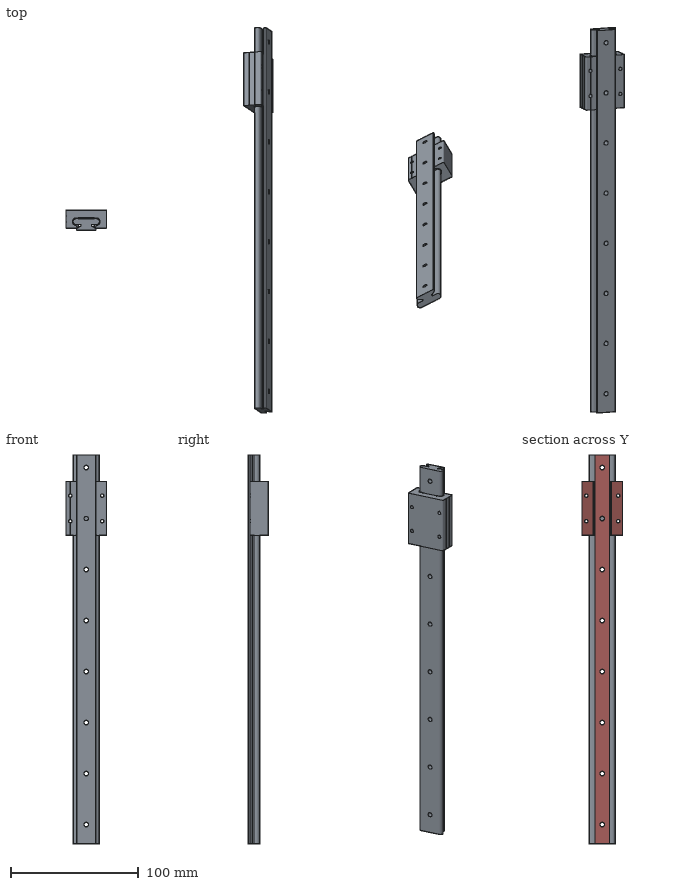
import cadquery as cq
import math


rail_length = 305.0
rail_height = 9.2
foot_half_width = 7.7
foot_height = 1.6
foot_corner_chamfer = 0.3
groove_slope = math.radians(30)
groove_floor_x = 4.2
head_radius = 2.3
head_half_width = 10.3
rail_hole_diameter = 3.4
rail_hole_pitch = 40.0
rail_hole_count = 8
first_hole_z = 15.0

carriage_width = 32.0
carriage_length = 42.4
carriage_top = 16.0
carriage_bottom = 1.7
carriage_center_z = 263.0
carriage_edge_fillet = 0.7
screw_hole_diameter = 2.5
screw_spacing_x = 25.0
screw_spacing_z = 20.0
lip_tip_x = 7.0
lip_edge_fillet = 0.4
foot_clearance = 0.1

liner_thickness = 0.6
liner_end_x = 6.2

mark_depth = 0.2
side_mark_heights = (6.6, 11.3)

head_center_x = head_half_width - head_radius
head_center_y = rail_height - head_radius
head_bottom = rail_height - 2 * head_radius
groove_floor_y = foot_height + (foot_half_width - groove_floor_x) * math.tan(groove_slope)
recess_radius = head_radius + liner_thickness
recess_top = rail_height + liner_thickness
recess_bottom = head_bottom - liner_thickness
carriage_start_z = carriage_center_z - carriage_length / 2
lip_edge_x = foot_half_width + foot_clearance
lip_tip_y = carriage_bottom + (lip_edge_x - lip_tip_x) * math.tan(groove_slope)
liner_end_y = carriage_bottom + (lip_edge_x - liner_end_x) * math.tan(groove_slope)
screw_x = screw_spacing_x / 2


def along_y(points, diameter):
    """Cylinders through the whole depth in Y, at the given (x, z) points."""
    cutters = cq.Workplane("XZ").pushPoints(points)
    return cutters.circle(diameter / 2).extrude(-carriage_top)


def make_rail():
    profile = (
        cq.Workplane("XY")
        .moveTo(0, 0)
        .lineTo(foot_half_width - foot_corner_chamfer, 0)
        .lineTo(foot_half_width, foot_corner_chamfer)
        .lineTo(foot_half_width, foot_height)
        .lineTo(groove_floor_x, groove_floor_y)
        .lineTo(groove_floor_x, head_bottom)
        .lineTo(head_center_x, head_bottom)
        .threePointArc((head_half_width, head_center_y), (head_center_x, rail_height))
        .lineTo(0, rail_height)
        .mirrorY()
    )
    holes = [(0, first_hole_z + i * rail_hole_pitch) for i in range(rail_hole_count)]
    return profile.extrude(rail_length).cut(along_y(holes, rail_hole_diameter))


def mark_groove(x, y):
    """A square bar on edge that cuts a 45 degree V groove along the carriage."""
    side = mark_depth * math.sqrt(2)
    bar = cq.Workplane("XY").rect(side, side).extrude(carriage_length)
    return bar.rotate((0, 0, 0), (0, 0, 1), 45).translate((x, y, carriage_start_z))


def make_carriage():
    half_width = carriage_width / 2
    body = (
        cq.Workplane("XY", origin=(0, 0, carriage_start_z))
        .moveTo(0, carriage_top)
        .lineTo(half_width, carriage_top)
        .lineTo(half_width, carriage_bottom)
        .lineTo(lip_edge_x, carriage_bottom)
        .lineTo(lip_tip_x, lip_tip_y)
        .lineTo(head_center_x, recess_bottom)
        .threePointArc(
            (head_center_x + recess_radius, head_center_y), (head_center_x, recess_top)
        )
        .lineTo(0, recess_top)
        .mirrorY()
        .extrude(carriage_length)
    )
    corners = [(sx * half_width, y) for sx in (-1, 1) for y in (carriage_bottom, carriage_top)]
    for x, y in corners:
        corner = cq.selectors.NearestToPointSelector((x, y, carriage_center_z))
        body = body.edges(corner).fillet(carriage_edge_fillet)
    for x in (-lip_edge_x, lip_edge_x):
        lip_edge = cq.selectors.NearestToPointSelector((x, carriage_bottom, carriage_center_z))
        body = body.edges(lip_edge).fillet(lip_edge_fillet)

    rows_z = [carriage_center_z + side * screw_spacing_z / 2 for side in (-1, 1)]
    screws = [(x, z) for x in (-screw_x, screw_x) for z in rows_z]
    body = body.cut(along_y(screws, screw_hole_diameter))

    body = body.cut(mark_groove(-screw_x, carriage_bottom))
    for y in side_mark_heights:
        body = body.cut(mark_groove(-half_width, y))
    return body


def make_liner(side):
    """A C-shaped strip round one edge of the rail head; side is -1 or +1 along X."""
    return (
        cq.Workplane("XY", origin=(0, 0, carriage_start_z))
        .moveTo(side * liner_end_x, rail_height)
        .lineTo(side * head_center_x, rail_height)
        .threePointArc((side * head_half_width, head_center_y), (side * head_center_x, head_bottom))
        .lineTo(side * liner_end_x, head_bottom)
        .lineTo(side * liner_end_x, liner_end_y)
        .lineTo(side * lip_tip_x, lip_tip_y)
        .lineTo(side * head_center_x, recess_bottom)
        .threePointArc(
            (side * (head_center_x + recess_radius), head_center_y),
            (side * head_center_x, recess_top),
        )
        .lineTo(side * liner_end_x, recess_top)
        .close()
        .extrude(carriage_length)
    )


rail = make_rail()
carriage = make_carriage()
liners = [make_liner(side) for side in (-1, 1)]

result = cq.Compound.makeCompound([rail.val(), carriage.val(), *[liner.val() for liner in liners]])